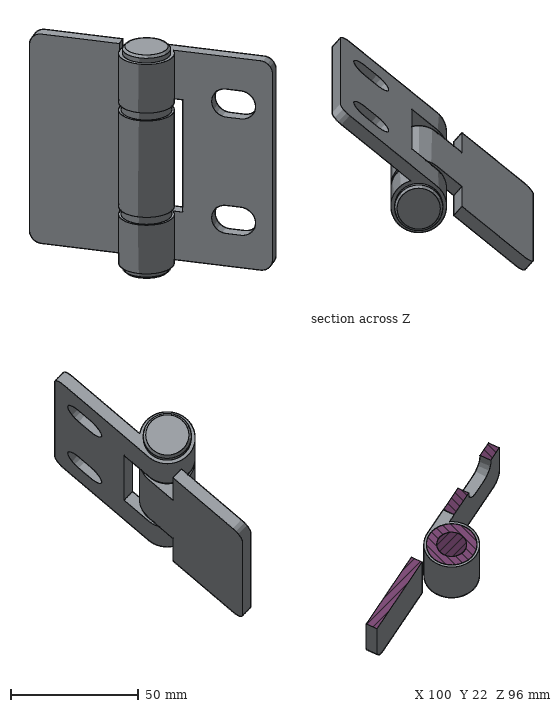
import cadquery as cq

hinge_width = 100.0
leaf_height = 90.0
leaf_thickness = 5.0
corner_radius = 5.0
knuckle_radius = 11.0
middle_knuckle_length = 41.4
washer_thickness = 3.4
washer_radius = 10.0
knuckle_clearance = 2.0
cap_radius = 9.5
cap_height = 3.0
cap_edge = 1.0
slot_length = 18.0
slot_width = 12.0
slot_offset = 34.0
slot_spacing = 50.0

half_width = hinge_width / 2
half_height = leaf_height / 2
pin_radius = knuckle_radius - leaf_thickness
middle_top = middle_knuckle_length / 2
outer_bottom = middle_top + washer_thickness
outer_knuckle_length = half_height - outer_bottom
plate_edge = knuckle_radius + knuckle_clearance
plate_center_y = knuckle_radius - leaf_thickness / 2


def cylinder(radius, bottom, length):
    """Cylinder on the hinge axis, starting at the given height."""
    return cq.Workplane("XY").workplane(offset=bottom).circle(radius).extrude(length)


def plate(side, inner, outer, bottom, height):
    """Flat piece of leaf between two distances from the axis; side is -1 or 1."""
    center = (side * (inner + outer) / 2, plate_center_y, bottom + height / 2)
    return cq.Workplane("XY").box(outer - inner, leaf_thickness, height).translate(center)


def make_leaf(side, knuckle_spans):
    """Plate with rounded outer corners, joined tangentially to its bored knuckles."""
    outer_edges = ">X" if side > 0 else "<X"
    leaf = plate(side, plate_edge, half_width, -half_height, leaf_height)
    leaf = leaf.faces(outer_edges).edges("|Y").fillet(corner_radius)
    for bottom, length in knuckle_spans:
        leaf = leaf.union(plate(side, 0, plate_edge, bottom, length))
        leaf = leaf.union(cylinder(knuckle_radius, bottom, length))
    return leaf.cut(cylinder(pin_radius, -half_height, leaf_height))


def cut_mounting_slots(leaf):
    """Two horizontal slots through the plate."""
    slots = (
        cq.Workplane("XZ", origin=(0, knuckle_radius, 0))
        .pushPoints([(slot_offset, z * slot_spacing / 2) for z in (-1, 1)])
        .slot2D(slot_length, slot_width)
        .extrude(leaf_thickness)
    )
    return leaf.cut(slots)


def make_washer(bottom):
    """Spacer ring between two knuckles."""
    ring = cylinder(washer_radius, bottom, washer_thickness)
    return ring.cut(cylinder(pin_radius, bottom, washer_thickness))


def make_cap(side):
    """Solid end cap with a bevelled outer rim; side is 1 for the top, -1 for the bottom."""
    bottom = half_height if side > 0 else -half_height - cap_height
    outer_face = ">Z" if side > 0 else "<Z"
    return cylinder(cap_radius, bottom, cap_height).faces(outer_face).edges().chamfer(cap_edge)


plain_leaf = make_leaf(-1, [(-middle_top, middle_knuckle_length)])
slotted_leaf = make_leaf(
    1,
    [(-half_height, outer_knuckle_length), (outer_bottom, outer_knuckle_length)],
)
slotted_leaf = cut_mounting_slots(slotted_leaf)
pin = cylinder(pin_radius, -half_height, leaf_height)
washers = [make_washer(bottom) for bottom in (-outer_bottom, middle_top)]
caps = [make_cap(side) for side in (-1, 1)]

result = cq.Compound.makeCompound(
    [
        plain_leaf.val(),
        slotted_leaf.val(),
        pin.val(),
        *[washer.val() for washer in washers],
        *[cap.val() for cap in caps],
    ]
)